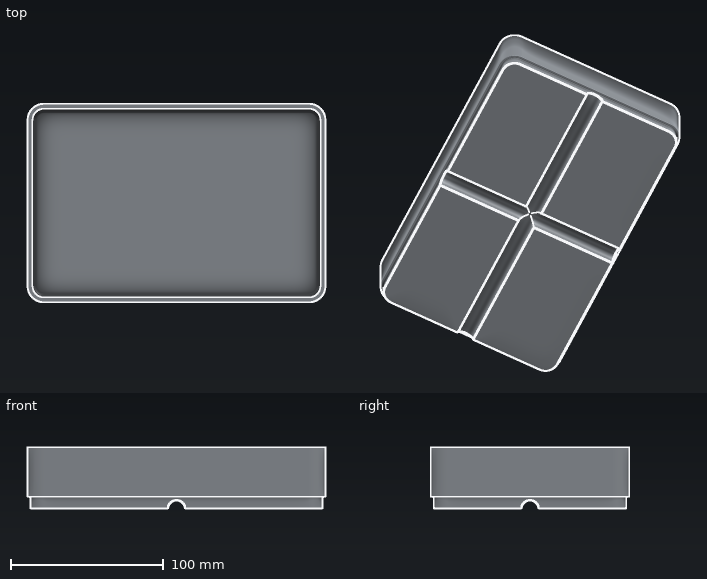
import cadquery as cq

length = 195.36
width = 130.24
height = 40.38

corner_radius = 10.85
foot_inset = 2.0
foot_height = 7.8
body_edge_fillet = 0.5
ledge_fillet = 0.6
foot_edge_chamfer = 0.5

wall = 3.3
floor_height = 9.9
floor_fillet = 2.7

groove_radius = 5.4


def rounded_block(inset, bottom, top):
    """Upright block with rounded corners, set in from the outer body all round."""
    return (
        cq.Workplane("XY")
        .workplane(offset=bottom)
        .rect(length - 2 * inset, width - 2 * inset)
        .extrude(top - bottom)
        .edges("|Z")
        .fillet(corner_radius - inset)
    )


def make_groove(plane, run):
    """Round bar along the plane normal that cuts a half-round groove under the part."""
    return cq.Workplane(plane).circle(groove_radius).extrude(run / 2, both=True)


def make_foot():
    """Foot crossed by two grooves, with its bottom edges and the groove mouths chamfered."""
    foot = rounded_block(foot_inset, 0, foot_height)
    foot = foot.cut(make_groove("XZ", width)).cut(make_groove("YZ", length))
    return foot.edges("<Z or (%CIRCLE and (<X or >X or <Y or >Y))").chamfer(foot_edge_chamfer)


def make_cavity():
    """Open-topped cavity with a fillet around its floor."""
    return rounded_block(wall, floor_height, height).faces("<Z").edges().fillet(floor_fillet)


def make_body():
    """Upper body on its foot, with a fillet in the corner under the ledge."""
    upper = rounded_block(0, foot_height, height).faces("<Z").edges().fillet(body_edge_fillet)
    body = upper.union(make_foot())
    inner_corner = cq.selectors.BoxSelector(
        (-length / 2 + foot_inset / 2, -width / 2 + foot_inset / 2, foot_height - ledge_fillet / 2),
        (length / 2 - foot_inset / 2, width / 2 - foot_inset / 2, foot_height + ledge_fillet / 2),
    )
    return body.edges(inner_corner).fillet(ledge_fillet)


result = make_body().cut(make_cavity())